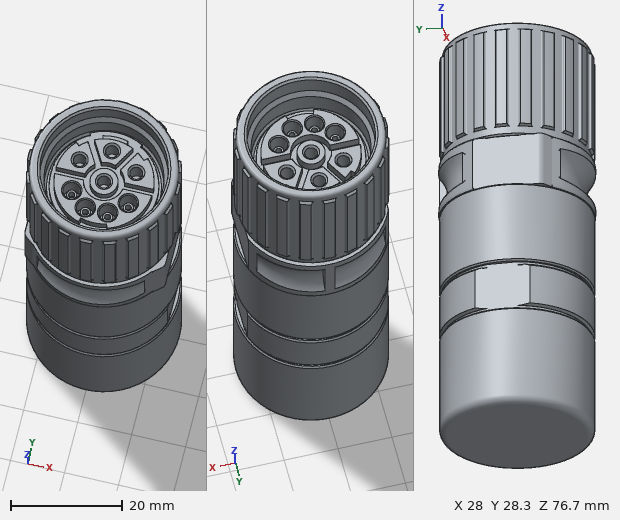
import cadquery as cq
import math

total_height = 76.65
body_radius = 13.99
floor_overlap = 0.8

nut_bottom_fillet = 1.4
nut_top = 19.0
ring_bottom = 19.6
ring_top = 27.8
sleeve_bottom = 28.4
sleeve_top = 44.0
groove_radius = 13.3
edge_chamfer = 0.3
ring_lower_chamfer_height = 0.6

flat_half_width = 13.0

grip_bottom = 43.85
grip_top = 53.95
grip_radius = 14.14
lug_y = -7.2
lug_shoulder_x = 11.1
lug_fillet = 1.2
grip_chamfer_height = 0.4
grip_chamfer_depth = 0.1
recess_depth = 1.5
recess_profile_radius = 5.2
front_recess_half_width = 10.0
front_recess_floor_radius = 14.95
back_recess_half_width = 11.95
back_recess_floor_radius = 13.9
recess_web_width = 1.85
recess_center_z = 49.0

collar_radius = 13.5
collar_top_fillet = 0.6
rib_count = 20
rib_bottom = 55.7
rib_top = 75.3
rib_root_half_width = 1.4
rib_crest_half_width = 0.85
rib_end_slope = 0.3

rim_chamfer_radius = 12.0
rim_chamfer_depth = 0.3
socket_radius = 11.6
ledge_top = 72.75
ledge_radius = 10.8
ledge_bottom = 71.9
gap_bottom_radius = 10.35
gap_bottom = 67.45
insert_floor_radius = 9.9
insert_floor = 68.5
flange_tab_half_angle = 28.0

insert_top = 70.4
insert_base = gap_bottom
insert_radius = 9.05
insert_relief_radius = 8.2
relief_start_angle = 43.0
key_half_angle = 15.0
front_notch_half_angle = 17.0
key_top = 69.75
hub_clearance_radius = 3.7
hub_radius = 2.5
channel_width = 1.2
contact_circle_radius = 6.05
power_angles = (30, 90, 150)
signal_angles = (210, 250, 290, 330)
power_hole_radius = 1.15
power_mouth_radius = 1.5
power_hole_depth = 4.6
signal_hole_radius = 1.6
signal_mouth_radius = 1.85
signal_hole_depth = 4.6
signal_pin_radius = 0.9
signal_pin_height = 2.3
signal_bore_radius = 0.5


def cylinder(radius, bottom, top):
    return cq.Workplane("XY").workplane(offset=bottom).circle(radius).extrude(top - bottom)


def polar(radius, angle):
    return (radius * math.cos(math.radians(angle)), radius * math.sin(math.radians(angle)))


def band(inner_radius, outer_radius, start, end, top):
    """Part of a ring between two angles, rising from the insert base."""
    middle = (start + end) / 2
    return (
        cq.Workplane("XY")
        .workplane(offset=insert_base)
        .moveTo(*polar(inner_radius, start))
        .lineTo(*polar(outer_radius, start))
        .threePointArc(polar(outer_radius, middle), polar(outer_radius, end))
        .lineTo(*polar(inner_radius, end))
        .threePointArc(polar(inner_radius, middle), polar(inner_radius, start))
        .close()
        .extrude(top - insert_base)
    )


def make_lower_body():
    """Nut, wrench ring and sleeve, parted by two narrow grooves."""
    nut = cylinder(body_radius, 0, nut_top).faces("<Z").edges().fillet(nut_bottom_fillet)
    nut = nut.faces(">Z").edges().chamfer(edge_chamfer)
    ring = cylinder(body_radius, ring_bottom, ring_top).faces(">Z").edges().chamfer(edge_chamfer)
    ring = ring.faces("<Z").edges().chamfer(edge_chamfer, ring_lower_chamfer_height)
    sleeve = cylinder(body_radius, sleeve_bottom, sleeve_top).faces("<Z or >Z").edges().chamfer(edge_chamfer)
    core = cylinder(groove_radius, nut_top - floor_overlap, sleeve_bottom + floor_overlap)
    flat_zone = (
        cq.Workplane("XY")
        .workplane(offset=nut_top)
        .rect(2 * flat_half_width, 2 * grip_radius)
        .extrude(sleeve_bottom - nut_top)
    )
    waist = core.union(ring).intersect(flat_zone.union(nut).union(sleeve))
    return nut.union(waist).union(sleeve)


def make_grip():
    """Flat-sided grip with a lug at each front corner and a finger recess front and back."""
    height = grip_top - grip_bottom
    slab = (
        cq.Workplane("XY")
        .workplane(offset=grip_bottom)
        .rect(2 * flat_half_width, 2 * grip_radius)
        .extrude(height)
    )
    shoulder_y = -math.sqrt(grip_radius**2 - lug_shoulder_x**2)
    lugs = (
        cq.Workplane("XY")
        .workplane(offset=grip_bottom)
        .polyline([
            (-flat_half_width, 0),
            (-flat_half_width, lug_y),
            (-lug_shoulder_x, shoulder_y),
            (lug_shoulder_x, shoulder_y),
            (flat_half_width, lug_y),
            (flat_half_width, 0),
        ])
        .close()
        .extrude(height)
    )
    for corner_x in (-flat_half_width, flat_half_width):
        corner = cq.selectors.NearestToPointSelector((corner_x, lug_y, (grip_bottom + grip_top) / 2))
        lugs = lugs.edges("|Z").edges(corner).fillet(lug_fillet)
    barrel = cylinder(grip_radius, grip_bottom, grip_top)
    barrel = barrel.faces("<Z or >Z").edges().chamfer(grip_chamfer_height, grip_chamfer_depth)
    grip = barrel.intersect(slab).union(lugs)
    front_recess = make_recess(front_recess_half_width, front_recess_floor_radius)
    back_recess = make_recess(back_recess_half_width, back_recess_floor_radius).mirror("XZ")
    web = cq.Workplane("XY").box(recess_web_width, 2 * grip_radius, total_height * 2)
    return grip.cut(front_recess).cut(back_recess.cut(web))


def make_recess(half_width, floor_radius):
    """Front finger recess: a ring of circular section, cut off square at both ends."""
    axis_y = floor_radius - (grip_radius - recess_depth)
    ring = cq.Workplane("XY").add(
        cq.Solid.makeTorus(
            floor_radius + recess_profile_radius,
            recess_profile_radius,
            cq.Vector(0, axis_y, recess_center_z),
        )
    )
    window = (
        cq.Workplane("XY")
        .workplane(offset=grip_bottom)
        .center(0, -grip_radius)
        .rect(2 * half_width, 2 * grip_radius)
        .extrude(grip_top - grip_bottom)
    )
    return ring.intersect(window)


def make_rib():
    """One collar rib on the +X side: rounded roots and crest edges, and bevelled ends."""
    root = math.sqrt(collar_radius**2 - rib_root_half_width**2)
    rise = body_radius - root
    half_rise = root + rise / 2
    inside = root - floor_overlap
    flank_run = (rib_root_half_width - rib_crest_half_width) / 2
    flank = rib_crest_half_width + flank_run
    bow = 1 - math.sqrt(0.5)
    root_middle = (root + bow * rise / 2, flank + bow * flank_run)
    crest_middle = (body_radius - bow * rise / 2, flank - bow * flank_run)
    bar = (
        cq.Workplane("XY")
        .workplane(offset=rib_bottom)
        .moveTo(inside, rib_root_half_width)
        .lineTo(root, rib_root_half_width)
        .threePointArc(root_middle, (half_rise, flank))
        .threePointArc(crest_middle, (body_radius, rib_crest_half_width))
        .lineTo(body_radius, -rib_crest_half_width)
        .threePointArc((crest_middle[0], -crest_middle[1]), (half_rise, -flank))
        .threePointArc((root_middle[0], -root_middle[1]), (root, -rib_root_half_width))
        .lineTo(inside, -rib_root_half_width)
        .close()
        .extrude(rib_top - rib_bottom)
    )
    envelope = cylinder(body_radius, rib_bottom, rib_top)
    envelope = envelope.faces("<Z or >Z").edges().chamfer(rib_end_slope, body_radius - collar_radius)
    return bar.intersect(envelope)


def make_collar():
    collar = cylinder(collar_radius, grip_top, total_height)
    collar = collar.faces(">Z").edges().fillet(collar_top_fillet)
    collar = collar.faces("<Z").edges().chamfer(edge_chamfer)
    rib = make_rib()
    for index in range(rib_count):
        collar = collar.union(rib.rotate((0, 0, 0), (0, 0, 1), index * 360 / rib_count))
    return collar


def make_socket():
    """Stepped opening down to the insert floor, with a narrow gap around the insert base."""
    return (
        cq.Workplane("XZ")
        .polyline([
            (0, insert_floor),
            (insert_floor_radius, insert_floor),
            (insert_floor_radius, gap_bottom),
            (gap_bottom_radius, gap_bottom),
            (ledge_radius, gap_bottom + ledge_radius - gap_bottom_radius),
            (ledge_radius, ledge_bottom),
            (socket_radius, ledge_top),
            (socket_radius, total_height - rim_chamfer_depth),
            (rim_chamfer_radius, total_height),
            (0, total_height),
        ])
        .close()
        .revolve(360, (0, 0, 0), (0, 1, 0))
    )


def make_insert():
    """Raised contact carrier: a hub and four islands parted by narrow channels."""
    islands = cylinder(insert_radius, insert_base, insert_top)
    outside = insert_radius + floor_overlap
    front_notch = (270 - front_notch_half_angle, 270 + front_notch_half_angle)
    back_relief = (relief_start_angle, 180 - relief_start_angle)
    for start, end in (front_notch, back_relief):
        islands = islands.cut(band(insert_relief_radius, outside, start, end, insert_top))
    islands = islands.cut(cylinder(hub_clearance_radius, insert_floor, insert_top))
    for angle in (0, 60, 120, 180):
        channel = (
            cq.Workplane("XY")
            .workplane(offset=insert_floor)
            .center(outside / 2, 0)
            .rect(outside, channel_width)
            .extrude(insert_top - insert_floor)
            .rotate((0, 0, 0), (0, 0, 1), angle)
        )
        islands = islands.cut(channel)
    key = band(
        insert_relief_radius - floor_overlap, insert_radius, 90 - key_half_angle, 90 + key_half_angle, key_top
    )
    return islands.union(key).union(cylinder(hub_radius, insert_base, insert_top))


def contact_hole(radius, mouth_radius, depth, place):
    """Blind hole from the insert top with a bevelled mouth."""
    bevel = mouth_radius - radius
    bottom = insert_top - depth
    return (
        cq.Workplane("XZ")
        .polyline([
            (0, bottom),
            (radius, bottom),
            (radius, insert_top - bevel),
            (mouth_radius, insert_top),
            (0, insert_top),
        ])
        .close()
        .revolve(360, (0, 0, 0), (0, 1, 0))
        .translate((place[0], place[1], 0))
    )


def signal_hole(place):
    """Contact hole holding a hollow pin that stands on its bottom."""
    bottom = insert_top - signal_hole_depth
    pin = cylinder(signal_pin_radius, bottom, bottom + signal_pin_height)
    pin = pin.cut(cylinder(signal_bore_radius, bottom, bottom + signal_pin_height))
    hole = contact_hole(signal_hole_radius, signal_mouth_radius, signal_hole_depth, place)
    return hole.cut(pin.translate((place[0], place[1], 0)))


result = make_lower_body().union(make_grip()).union(make_collar())
result = result.cut(make_socket())

flange_tab = band(
    insert_floor_radius - floor_overlap,
    gap_bottom_radius,
    90 - flange_tab_half_angle,
    90 + flange_tab_half_angle,
    insert_floor,
)
result = result.union(flange_tab).union(make_insert())

power_places = [(0, 0)] + [polar(contact_circle_radius, angle) for angle in power_angles]
for place in power_places:
    result = result.cut(contact_hole(power_hole_radius, power_mouth_radius, power_hole_depth, place))
for angle in signal_angles:
    result = result.cut(signal_hole(polar(contact_circle_radius, angle)))